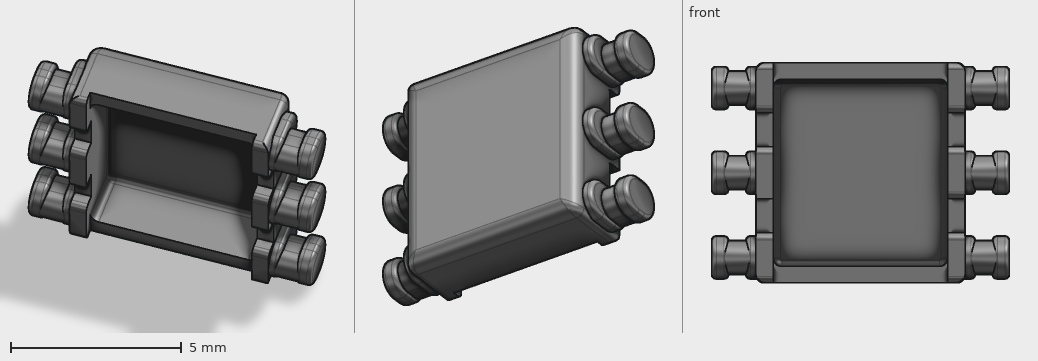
import cadquery as cq

BODY_WIDTH = 6.12
BODY_HEIGHT = 6.45
BODY_DEPTH = 2.36
SIDE_WALL = 0.51
END_WALL = 0.485
FLOOR = 0.25
BACK_EDGE_RADIUS = 0.5
CORNER_RADIUS = 0.25
POCKET_CORNER_RADIUS = 0.25
POCKET_FLOOR_RADIUS = 0.2

END_WALL_SETBACK = 0.4
NOTCH_DEPTH = 0.5
NOTCH_HEIGHT = 1.0
NOTCH_CENTRE = 1.255
TAB_EDGE_RADIUS = 0.2

PIN_PITCH = 2.48
FLANGE_HEIGHT = 1.26
FLANGE_EDGE_RADIUS = 0.14
COLLAR_THICKNESS = 0.3
COLLAR_DEPTH = 1.91
SHANK_LENGTH = 0.5
SHANK_HEIGHT = 1.0
SHANK_DEPTH = 1.38
HEAD_THICKNESS = 0.5
HEAD_DEPTH = 1.53
COLLAR_ROOT = 0.25

POCKET_WIDTH = BODY_WIDTH - 2 * SIDE_WALL
POCKET_HEIGHT = BODY_HEIGHT - 2 * END_WALL


def make_block():
    """Solid block with a rounded back and rounded corners along Y."""
    block = cq.Workplane("XY").box(BODY_WIDTH, BODY_DEPTH, BODY_HEIGHT)
    block = block.translate((0, BODY_DEPTH / 2, 0))
    block = block.faces(">Y").edges().fillet(BACK_EDGE_RADIUS)
    return block.edges("|Y").fillet(CORNER_RADIUS)


def make_pocket():
    """Volume of the tray's cavity, open towards -Y and rounded at its floor."""
    depth = BODY_DEPTH - FLOOR
    pocket = cq.Workplane("XY").box(POCKET_WIDTH, depth, POCKET_HEIGHT)
    pocket = pocket.translate((0, depth / 2, 0))
    pocket = pocket.edges("|Y").fillet(POCKET_CORNER_RADIUS)
    return pocket.faces(">Y").edges().fillet(POCKET_FLOOR_RADIUS)


def make_rim_relief():
    """Cut that sets the end walls back between the two rows of tabs."""
    relief = cq.Workplane("XY").box(POCKET_WIDTH, END_WALL_SETBACK, BODY_HEIGHT)
    return relief.translate((0, END_WALL_SETBACK / 2, 0))


def tab_row(side):
    """Envelope of one side wall, notched into three tabs with rounded front edges."""
    row = cq.Workplane("XY").box(SIDE_WALL, BODY_DEPTH, BODY_HEIGHT)
    row = row.translate((side * (BODY_WIDTH - SIDE_WALL) / 2, BODY_DEPTH / 2, 0))
    for z in (-NOTCH_CENTRE, NOTCH_CENTRE):
        notch = cq.Workplane("XY").box(BODY_WIDTH, NOTCH_DEPTH, NOTCH_HEIGHT)
        row = row.cut(notch.translate((0, NOTCH_DEPTH / 2, z)))
    front_edges = row.faces("<Y").edges("|X").vals()
    if side < 0:
        sharp_z = NOTCH_HEIGHT / 2 - NOTCH_CENTRE
        front_edges = [e for e in front_edges if abs(e.Center().z - sharp_z) > TAB_EDGE_RADIUS]
    return row.newObject(front_edges).fillet(TAB_EDGE_RADIUS)


def make_housing():
    """Tray with its set-back end walls and the tabs along both sides."""
    block = make_block()
    envelope = cq.Workplane("XY").box(POCKET_WIDTH, BODY_DEPTH, BODY_HEIGHT)
    envelope = envelope.translate((0, BODY_DEPTH / 2, 0))
    for side in (-1, 1):
        envelope = envelope.union(tab_row(side))
    return block.intersect(envelope).cut(make_pocket()).cut(make_rim_relief())


def obround(x_start, length, height, depth):
    """Bar along +X with an obround section spanning Y = 0 to depth."""
    plane = cq.Workplane("YZ", origin=(x_start, 0, 0))
    return plane.center(depth / 2, 0).slot2D(depth, height).extrude(length)


def make_pin():
    """Pin on the +X side: collar against the wall, shank, then end head."""
    wall_x = BODY_WIDTH / 2
    shank_x = wall_x + COLLAR_THICKNESS
    head_x = shank_x + SHANK_LENGTH
    root_x = wall_x - COLLAR_ROOT
    collar = obround(root_x, shank_x - root_x, FLANGE_HEIGHT, COLLAR_DEPTH)
    collar = collar.faces(">X").edges().fillet(FLANGE_EDGE_RADIUS)
    shank = obround(wall_x, head_x + HEAD_THICKNESS / 2 - wall_x, SHANK_HEIGHT, SHANK_DEPTH)
    head = obround(head_x, HEAD_THICKNESS, FLANGE_HEIGHT, HEAD_DEPTH)
    head = head.faces("<X or >X").edges().fillet(FLANGE_EDGE_RADIUS)
    return collar.union(shank).union(head)


def add_pins(housing):
    """Three pins on each side wall."""
    pin = make_pin()
    for row in (-1, 0, 1):
        right_pin = pin.translate((0, 0, row * PIN_PITCH))
        housing = housing.union(right_pin).union(right_pin.mirror("YZ"))
    return housing


result = add_pins(make_housing())